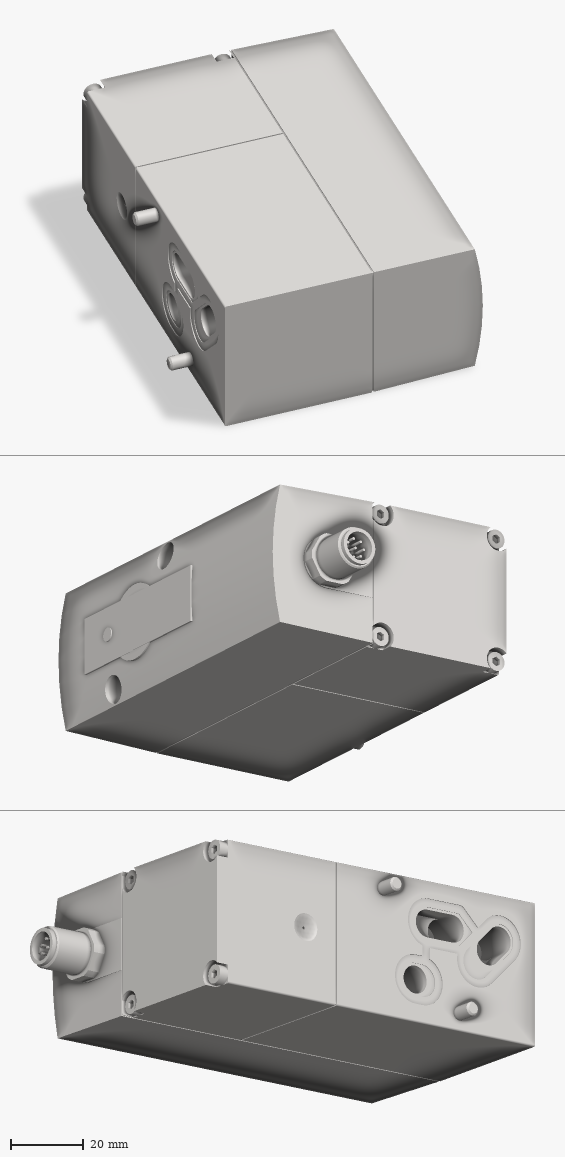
import cadquery as cq
import math


OVERALL_LENGTH = 126.9
OVERALL_DEPTH = 84.18

LENGTH = 110.4
HEIGHT = 41.5
JOINT_Y = 44.0
SPLIT_X = 41.3
SEAM_WIDTH = 0.5
SEAM_DEPTH = 0.3
EDGE_RADIUS = 0.5

GAP_START_Y = 43.85
GAP_END_Y = 44.4
CAP_DRAFT = 1.0
CAP_INSET = 0.1
EAVE_Y = 74.6
CROWN_Y = 77.0
PANEL_X = 42.1
PANEL_LENGTH = 54.1
PANEL_WIDTH = 16.4
PANEL_RISE = 0.2
PANEL_TOP_Y = CROWN_Y + PANEL_RISE
DIAL_X = 70.8
DIAL_DIAMETER = 22.0
DIAL_RISE = 0.1
DIAL_TOP_Y = CROWN_Y + DIAL_RISE

MOUNT_POSITIONS = [(57.5, 15.75), (84.05, -15.75)]
MOUNT_DIAMETER = 4.0
MOUNT_PROJECTION = 6.58
MOUNT_ROOT_Y = 22.0
MOUNT_TIP_CHAMFER = 0.5
MOUNT_RECESS_DIAMETER = 8.0
MOUNT_RECESS_FLOOR_Y = 70.0
BUTTON_X = MOUNT_POSITIONS[1][0]
BUTTON_DIAMETER = 4.0
BUTTON_TOP_Y = OVERALL_DEPTH - MOUNT_PROJECTION

COVER_SCREW_INSET = 2.75
COVER_RECESS_DIAMETER = 7.5
COVER_RECESS_DEPTH = 3.8
COVER_HEAD_DIAMETER = 5.5
COVER_HEAD_TOP_X = 1.0
SOCKET_ACROSS_FLATS = 2.4
SOCKET_DEPTH = 1.5

CONNECTOR_Y = 59.4
BOSS_DIAMETER = 15.0
NUT_ACROSS_FLATS = 14.0
NUT_LENGTH = 3.75
NUT_TURN = 30
BARREL_DIAMETER = 12.0
BARREL_END = 15.1
BARREL_CHAMFER = 0.4
RIM_DIAMETER = 10.4
CONNECTOR_LENGTH = OVERALL_LENGTH - LENGTH
CONTACT_BORE = 8.3
CONTACT_BORE_DEPTH = 9.0
CONTACT_DIAMETER = 0.8
CONTACT_CIRCLE_RADIUS = 2.75
CONTACT_RECESS = 2.0
OUTER_CONTACTS = 7
KEY_DIAMETER = 2.0

DIMPLE_X = 30.75
DIMPLE_DIAMETER = 8.0
DIMPLE_DEPTH = 1.0
VENT_DIAMETER = 0.8
VENT_DEPTH = 4.0

WINDOW_RADIUS = 4.7
GASKET_WIDTH = 2.4
GASKET_DEPTH = 0.3
WINDOW_DEPTH = 0.5
PORT_DIAMETER = 8.0
UPPER_POCKET_DEPTH = 6.5
SLANT_POCKET_DEPTH = 8.0
PORT_DEPTH = 14.0
UPPER_PORT_Z = 8.5
UPPER_WINDOW_LEFT_X = 73.35
UPPER_PORT_X = 82.0
SLANT_LOWER = (90.4, 0.0)
SLANT_MIDDLE = (94.5, 4.1)
SLANT_UPPER = (98.3, 7.9)
SLANT_GASKET_RADIUS = WINDOW_RADIUS + GASKET_WIDTH
UPPER_WINDOW_NOSE_X = (
    UPPER_PORT_Z + SLANT_LOWER[0] - SLANT_LOWER[1] - SLANT_GASKET_RADIUS * math.sqrt(2)
)
LOWER_PORT_Z = -8.4
LOWER_WINDOW_X = (68.85, 71.2)
LOWER_PORT_X = 69.1
NECK_X = 72.5


def rod_x(x_start, x_end, diameter, y, z):
    """Cylinder along X between two X positions."""
    plane = cq.Workplane("YZ", origin=(x_start, y, z))
    return plane.circle(diameter / 2).extrude(x_end - x_start)


def rod_y(y_start, y_end, diameter, x, z):
    """Cylinder along Y between two Y positions."""
    plane = cq.Workplane("XZ", origin=(x, y_start, z))
    return plane.circle(diameter / 2).extrude(y_start - y_end)


def block(x_start, x_end, y_start, y_end, height):
    """Box centred on Z = 0."""
    plane = cq.Workplane("XY", origin=(x_start, y_start, 0))
    return plane.box(x_end - x_start, y_end - y_start, height, centered=(False, False, True))


def slot(start, end, radius, depth):
    """Round-ended slot sunk from the port face, between two (x, z) centres."""
    length = math.dist(start, end)
    angle = math.degrees(math.atan2(end[1] - start[1], end[0] - start[0]))
    middle = ((start[0] + end[0]) / 2, 0, (start[1] + end[1]) / 2)
    plane = cq.Workplane("XZ", origin=middle)
    return plane.slot2D(length + 2 * radius, 2 * radius, angle).extrude(-depth)


def nosed_slot(offset, depth):
    """Slot with a round left end and a right-angled nose, grown outward by an offset."""
    radius = WINDOW_RADIUS
    nose = UPPER_WINDOW_NOSE_X - UPPER_WINDOW_LEFT_X
    outline = (
        cq.Workplane("XZ", origin=(UPPER_WINDOW_LEFT_X, 0, UPPER_PORT_Z))
        .moveTo(0, radius)
        .lineTo(nose - radius, radius)
        .lineTo(nose, 0)
        .lineTo(nose - radius, -radius)
        .lineTo(0, -radius)
        .threePointArc((-radius, 0), (0, radius))
        .close()
    )
    if offset:
        outline = outline.offset2D(offset)
    return outline.extrude(-depth)


def make_body():
    body = block(0, LENGTH, 0, JOINT_Y, HEIGHT)
    body = body.faces("<Y").edges("|X").fillet(EDGE_RADIUS)
    seam_start = SPLIT_X - SEAM_WIDTH / 2
    ring = block(seam_start, seam_start + SEAM_WIDTH, 0, JOINT_Y, HEIGHT)
    core = block(0, LENGTH, SEAM_DEPTH, JOINT_Y, HEIGHT - 2 * SEAM_DEPTH)
    return body.cut(ring.cut(core))


def make_cap():
    cap_length = LENGTH - 2 * CAP_INSET
    cap = (
        cq.Workplane("XZ", origin=(LENGTH / 2, JOINT_Y, 0))
        .rect(cap_length, HEIGHT)
        .extrude(JOINT_Y - CROWN_Y, taper=CAP_DRAFT)
    )
    eave_half = HEIGHT / 2 - (EAVE_Y - JOINT_Y) * math.tan(math.radians(CAP_DRAFT))
    roof = (
        cq.Workplane("YZ")
        .moveTo(JOINT_Y, -HEIGHT / 2)
        .lineTo(EAVE_Y, -eave_half)
        .threePointArc((CROWN_Y, 0), (EAVE_Y, eave_half))
        .lineTo(JOINT_Y, HEIGHT / 2)
        .close()
        .extrude(LENGTH)
    )
    return cap.intersect(roof)


def cut_joint_gap(part):
    ring = block(0, LENGTH, GAP_START_Y, GAP_END_Y, HEIGHT)
    core = block(SEAM_DEPTH, LENGTH - SEAM_DEPTH, 0, EAVE_Y, HEIGHT - 2 * SEAM_DEPTH)
    return part.cut(ring.cut(core))


def add_crown_details(part):
    panel = block(PANEL_X, PANEL_X + PANEL_LENGTH, EAVE_Y, PANEL_TOP_Y, PANEL_WIDTH)
    dial = rod_y(EAVE_Y, DIAL_TOP_Y, DIAL_DIAMETER, DIAL_X, 0)
    button = rod_y(EAVE_Y, BUTTON_TOP_Y, BUTTON_DIAMETER, BUTTON_X, 0)
    part = part.union(panel).union(dial).union(button)
    for x, z in MOUNT_POSITIONS:
        part = part.cut(rod_y(MOUNT_RECESS_FLOOR_Y, BUTTON_TOP_Y, MOUNT_RECESS_DIAMETER, x, z))
    return part


def add_mounting_screws(part):
    for x, z in MOUNT_POSITIONS:
        screw = rod_y(-MOUNT_PROJECTION, MOUNT_ROOT_Y, MOUNT_DIAMETER, x, z)
        part = part.union(screw.faces("<Y").chamfer(MOUNT_TIP_CHAMFER))
    return part


def add_cover_screws(part):
    z_offset = HEIGHT / 2 - COVER_SCREW_INSET
    for y in (COVER_SCREW_INSET, GAP_START_Y - COVER_SCREW_INSET):
        for z in (-z_offset, z_offset):
            recess = rod_x(0, COVER_RECESS_DEPTH, COVER_RECESS_DIAMETER, y, z)
            recess = recess.intersect(block(0, LENGTH, -COVER_SCREW_INSET, GAP_END_Y, 2 * HEIGHT))
            head = rod_x(COVER_HEAD_TOP_X, COVER_RECESS_DEPTH, COVER_HEAD_DIAMETER, y, z)
            socket = (
                cq.Workplane("YZ", origin=(COVER_HEAD_TOP_X, y, z))
                .polygon(6, SOCKET_ACROSS_FLATS, circumscribed=True)
                .extrude(SOCKET_DEPTH)
            )
            part = part.cut(recess).union(head.cut(socket))
    return part


def make_connector():
    boss = rod_x(0, BOSS_DIAMETER / 2, BOSS_DIAMETER, CONNECTOR_Y, 0)
    boss = boss.union(block(0, BOSS_DIAMETER / 2, GAP_END_Y, CONNECTOR_Y, BOSS_DIAMETER))

    nut = (
        cq.Workplane("YZ", origin=(0, CONNECTOR_Y, 0))
        .polygon(6, NUT_ACROSS_FLATS, circumscribed=True)
        .extrude(-NUT_LENGTH)
        .rotate((0, CONNECTOR_Y, 0), (1, CONNECTOR_Y, 0), NUT_TURN)
        .intersect(rod_x(0, -NUT_LENGTH, BOSS_DIAMETER, CONNECTOR_Y, 0))
    )
    barrel = rod_x(0, -BARREL_END, BARREL_DIAMETER, CONNECTOR_Y, 0)
    barrel = barrel.faces("<X").chamfer(BARREL_CHAMFER)
    rim = rod_x(0, -CONNECTOR_LENGTH, RIM_DIAMETER, CONNECTOR_Y, 0)
    connector = boss.union(nut).union(barrel).union(rim)

    floor_x = CONTACT_BORE_DEPTH - CONNECTOR_LENGTH
    bore = rod_x(floor_x, -CONNECTOR_LENGTH, CONTACT_BORE, CONNECTOR_Y, 0)
    connector = connector.cut(bore)
    key_y = CONNECTOR_Y + CONTACT_BORE / 2
    key = rod_x(floor_x, CONTACT_RECESS - CONNECTOR_LENGTH, KEY_DIAMETER, key_y, 0)
    connector = connector.union(key)

    contact_centres = [(CONNECTOR_Y, 0)]
    for index in range(OUTER_CONTACTS):
        angle = 2 * math.pi * index / OUTER_CONTACTS
        y = CONNECTOR_Y - CONTACT_CIRCLE_RADIUS * math.cos(angle)
        contact_centres.append((y, CONTACT_CIRCLE_RADIUS * math.sin(angle)))
    for y, z in contact_centres:
        contact = rod_x(floor_x, CONTACT_RECESS - CONNECTOR_LENGTH, CONTACT_DIAMETER, y, z)
        connector = connector.union(contact)
    return connector


def cut_dimple(part):
    """Spherical dimple with a vent hole at its bottom."""
    rim_radius = DIMPLE_DIAMETER / 2
    radius = (rim_radius**2 + DIMPLE_DEPTH**2) / (2 * DIMPLE_DEPTH)
    ball = cq.Workplane("XY").sphere(radius).translate((DIMPLE_X, DIMPLE_DEPTH - radius, 0))
    return part.cut(ball).cut(rod_y(0, VENT_DEPTH, VENT_DIAMETER, DIMPLE_X, 0))


def window_shapes(offset, depth):
    """The three port windows, grown outward by an offset."""
    left, right = [(x, LOWER_PORT_Z) for x in LOWER_WINDOW_X]
    radius = WINDOW_RADIUS + offset
    return [
        nosed_slot(offset, depth),
        slot(SLANT_LOWER, SLANT_UPPER, radius, depth),
        slot(left, right, radius, depth),
    ]


def cut_ports(part):
    upper, slant, lower = window_shapes(GASKET_WIDTH, GASKET_DEPTH)
    neck_start = NECK_X - GASKET_WIDTH / 2
    neck_height = UPPER_PORT_Z - LOWER_PORT_Z
    neck = block(neck_start, neck_start + GASKET_WIDTH, 0, GASKET_DEPTH, neck_height)
    groove = upper.union(slant).union(lower).union(neck)
    for window in window_shapes(0, GASKET_DEPTH):
        groove = groove.cut(window)
    part = part.cut(groove)

    for window in window_shapes(0, WINDOW_DEPTH):
        part = part.cut(window)
    port_radius = PORT_DIAMETER / 2
    upper_port = (UPPER_PORT_X, UPPER_PORT_Z)
    upper_start = (UPPER_WINDOW_LEFT_X, UPPER_PORT_Z)
    part = part.cut(slot(upper_start, upper_port, port_radius, UPPER_POCKET_DEPTH))
    part = part.cut(slot(SLANT_MIDDLE, SLANT_UPPER, port_radius, SLANT_POCKET_DEPTH))
    lower_port = (LOWER_PORT_X, LOWER_PORT_Z)
    for (x, z), port_start in [
        (upper_port, UPPER_POCKET_DEPTH),
        (SLANT_UPPER, SLANT_POCKET_DEPTH),
        (lower_port, 0),
    ]:
        part = part.cut(rod_y(port_start, PORT_DEPTH, PORT_DIAMETER, x, z))
    return part


result = cut_joint_gap(make_body().union(make_cap()))
result = add_crown_details(result)
result = add_cover_screws(result)
result = result.union(make_connector())
result = cut_dimple(result)
result = cut_ports(result)
result = add_mounting_screws(result)